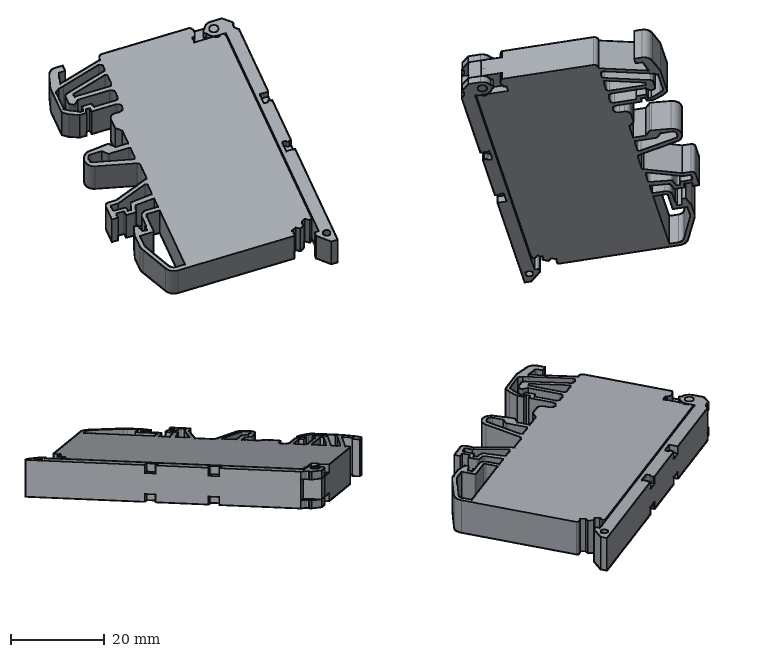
import cadquery as cq
import math


thickness = 8.0
housing_width = 60.0
lid_length = 64.18
lid_height = 3.0
lid_gap = 0.2
total_height = 43.2

ear_radius = 2.0
ear_thickness = 1.75
barrel_width = thickness - 2 * ear_thickness
pivot_x = ear_radius
pivot_y = -5.0
trunnion_radius = 1.0
hinge_clearance = 0.01
socket_radius = ear_radius + hinge_clearance
hinge_wall_x = pivot_x + socket_radius
detent_radius = 0.6
detent_distance = 1.8
hinge_floor_y = -10.15
rest_width = 2.6
rest_crown_y = -9.15
rest_edge_y = -9.75

corner_chamfer = 1.8
chamfer_start_y = -2.4
chamfer_end_y = chamfer_start_y + corner_chamfer
finger_dip_y = -0.8
hook_width = 1.0
hook_drop = 0.95
hook_bevel_start_y = -1.45
hook_x = housing_width + 0.6
eyelet_x = 61.65
eyelet_y = -1.58
eyelet_radius = 0.8
pocket_left = 21.85
pocket_right = 24.25
pocket_height = 2.0
pocket_wave = 0.25

housing_top = -lid_height - lid_gap
shoulder_y = -8.15
left_underside = -30.6
underside = -32.8
arch_y = -32.4
stop_y = -34.0
foot_bottom = -total_height
root = left_underside + 2.0
wall = 1.0


def outline(points):
    """Closed XY profile; a point (x, y, r) gets a tangent arc of radius r at its corner."""
    corners = []
    for index, point in enumerate(points):
        here = cq.Vector(point[0], point[1])
        if len(point) == 2:
            corners.append((here,))
            continue
        before = points[index - 1]
        after = points[(index + 1) % len(points)]
        to_before = (cq.Vector(before[0], before[1]) - here).normalized()
        to_after = (cq.Vector(after[0], after[1]) - here).normalized()
        half_angle = to_before.getAngle(to_after) / 2
        radius = point[2]
        setback = radius / math.tan(half_angle)
        apex_distance = radius / math.sin(half_angle) - radius
        apex = here + (to_before + to_after).normalized() * apex_distance
        corners.append((here + to_before * setback, apex, here + to_after * setback))

    profile = cq.Workplane("XY").moveTo(corners[0][-1].x, corners[0][-1].y)
    for corner in corners[1:] + corners[:1]:
        profile = profile.lineTo(corner[0].x, corner[0].y)
        if len(corner) == 3:
            profile = profile.threePointArc(corner[1].toTuple()[:2], corner[2].toTuple()[:2])
    return profile.close()


def slab(points, depth=thickness):
    """Profile extruded evenly to both sides of the mid-plane."""
    return outline(points).extrude(depth / 2, both=True)


def disc(x, y, radius, depth=thickness):
    return cq.Workplane("XY").center(x, y).circle(radius).extrude(depth / 2, both=True)


def block(x_min, x_max, y_min, y_max, depth=thickness):
    return slab([(x_min, y_min), (x_max, y_min), (x_max, y_max), (x_min, y_max)], depth)


def on_both_faces(tool):
    """Keep only the two outer layers of a full-thickness shape, each one ear thick."""
    middle = cq.Workplane("XY").box(4 * lid_length, 4 * total_height, barrel_width)
    return tool.cut(middle)


def housing_plate():
    latch_teeth = [
        (56.8, housing_top),
        (57.2, -3.75),
        (56.45, -4.6),
        (57.05, -5.55),
        (57.5, -5.55),
        (57.95, -5.3),
        (58.65, -6.45),
        (58.0, -7.2),
        (58.5, -8.35),
        (58.75, shoulder_y),
    ]
    arch = [
        (34.7, underside),
        (34.55, arch_y),
        (30.2, arch_y),
        (30.1, underside),
    ]
    stop_block = [
        (20.8, underside),
        (19.6, stop_y),
        (15.9, stop_y, 1.2),
        (15.9, left_underside, 1.1),
        (14.0, left_underside),
    ]
    return slab(
        [(0, housing_top)]
        + latch_teeth
        + [(housing_width, shoulder_y, 0.4), (housing_width, underside)]
        + arch
        + stop_block
        + [(0, left_underside, 0.95)]
    )


def rail_clip():
    """Left foot: hooked clip around a V-shaped spring tongue."""
    lean = 0.303
    leaning_wall = 0.97
    leg_x = 1.3
    tongue_x = 4.4
    tongue_right = 9.73
    leg_right = 13.7
    floor_y = foot_bottom + 0.75
    tongue_bottom = -40.95
    hook_top = -38.6
    hook_root_y = -40.8
    cavity_bend_y = -40.4
    tongue_floor = -39.15

    def leaned(top_x, y):
        return top_x + lean * (left_underside - y)

    body = slab([
        (leg_x, root),
        (leg_x, left_underside),
        (leaned(leg_x, hook_root_y), hook_root_y),
        (1.55, -40.15, 0.3),
        (1.55, hook_top),
        (0, hook_top),
        (0, -41.8, 2.0),
        (4.95, foot_bottom),
        (11.7, foot_bottom),
        (12.7, -41.95),
        (leg_right, -39.8),
        (leg_right, -38.3),
        (leg_right - wall, -38.1),
        (leg_right - wall, -37.15),
        (leg_right, -37.15),
        (leg_right, left_underside, 1.05),
        (leg_right + 1.1, left_underside),
        (leg_right + 1.1, root),
    ])
    cavity = slab([
        (leaned(leg_x, left_underside) + leaning_wall, left_underside, 0.7),
        (leaned(leg_x, cavity_bend_y) + leaning_wall, cavity_bend_y),
        (5.55, -41.55),
        (6.2, floor_y),
        (11.1, floor_y),
        (11.85, -41.45),
        (12.9, -39.4),
        (12.9, -38.7),
        (leg_right - 2 * wall, -38.6),
        (leg_right - 2 * wall, -36.4),
        (leg_right - wall, -36.2),
        (leg_right - wall, left_underside, 0.8),
    ])
    tongue = slab([
        (tongue_x - wall, root),
        (tongue_x - wall, left_underside),
        (tongue_x, left_underside, 0.6),
        (leaned(tongue_x, tongue_bottom), tongue_bottom, 0.7),
        (10.2, tongue_bottom, 0.6),
        (10.75, -39.85, 0.4),
        (tongue_right, -38.8),
        (tongue_right, left_underside, 1.0),
        (tongue_right + 1.3, left_underside),
        (tongue_right + 1.3, root),
    ])
    tongue_window = slab([
        (leaned(tongue_x, left_underside) + leaning_wall, left_underside, 0.4),
        (leaned(tongue_x, tongue_floor) + leaning_wall, tongue_floor),
        (tongue_right - wall, tongue_floor),
        (tongue_right - wall, left_underside, 0.6),
    ])
    return body.cut(cavity).union(tongue).cut(tongue_window)


def centre_spring():
    """Middle foot: U-shaped spring loop with a knee on its left leg."""
    left_x = 24.4
    loop_wall = 1.2
    loop_floor = foot_bottom + 1.05
    loop_radius = 2.16
    legs_meet_x = 24.63
    legs_meet_y = foot_bottom - 9.6
    body = slab([
        (left_x, root),
        (left_x, -35.6),
        (23.0, -36.8, 0.5),
        (legs_meet_x, legs_meet_y, loop_radius),
        (30.2, arch_y, 0.8),
        (31.2, arch_y),
        (31.2, root),
    ])
    window = slab([
        (left_x + loop_wall, underside, 0.3),
        (left_x + loop_wall, -37.75, 0.4),
        (left_x, -38.8),
        (left_x, loop_floor, 0.8),
        (26.4, loop_floor, 0.6),
        (28.95, underside, 0.5),
    ])
    return body.cut(window)


def notched_foot():
    """Foot with a leaning left leg and a C-shaped notch on its right side."""
    right_x = 42.3
    notch_x = right_x - 1.15
    notch_bottom = -41.8
    window_floor = foot_bottom + 1.05
    window_right = notch_x - 0.85
    left_x = 37.75
    body = slab([
        (34.55, root),
        (34.55, arch_y),
        (left_x, -40.5),
        (left_x, foot_bottom, 0.9),
        (right_x, foot_bottom),
        (right_x, notch_bottom),
        (notch_x, notch_bottom),
        (notch_x, -40.0, 0.2),
        (right_x, -39.95),
        (right_x, -37.65, 0.4),
        (40.5, -37.2, 0.4),
        (40.15, underside),
        (40.15, root),
    ])
    window = slab([
        (35.75, underside, 0.4),
        (left_x + wall, -40.4),
        (left_x + wall, window_floor),
        (window_right, window_floor, 0.4),
        (window_right, -39.25, 0.4),
        (right_x - wall, -39.2),
        (right_x - wall, -38.4, 0.2),
        (39.45, -37.9, 0.4),
        (38.9, underside, 0.3),
    ])
    return body.cut(window)


def rail_hook():
    """Right foot: closed frame that carries the barbed rail hook."""
    left_x = 42.55
    shelf_y = -36.95
    throat_x = 47.5
    base_y = -40.15
    body = slab([
        (left_x, root),
        (left_x, shelf_y, 1.4),
        (46.45, shelf_y),
        (46.55, -37.35),
        (46.85, -37.15),
        (throat_x, -37.15),
        (throat_x, -38.15),
        (45.7, -38.6),
        (45.7, -39.45),
        (48.05, base_y),
        (51.6, base_y, 2.8),
        (housing_width, -36.4, 2.5),
        (housing_width, root),
    ])
    window = slab([
        (left_x + wall, underside),
        (left_x + wall, shelf_y + wall, 0.4),
        (throat_x + wall, shelf_y + wall, 0.2),
        (throat_x + wall, base_y + wall),
        (51.4, base_y + wall, 1.8),
        (housing_width - wall, -35.8, 1.6),
        (housing_width - wall, underside),
    ])
    return body.cut(window)


def ear_recess():
    """Room for the lid ears: a step in both faces with a rounded rest and a detent notch."""
    recess = (
        cq.Workplane("XY")
        .moveTo(0, 0)
        .lineTo(0, rest_edge_y)
        .threePointArc((rest_width / 2, rest_crown_y), (rest_width, rest_edge_y))
        .lineTo(rest_width, hinge_floor_y)
        .lineTo(hinge_wall_x, hinge_floor_y)
        .lineTo(hinge_wall_x, 0)
        .close()
        .extrude(thickness / 2, both=True)
    )
    notch = disc(pivot_x + detent_distance, pivot_y, detent_radius)
    return on_both_faces(recess.union(notch))


def barrel_socket():
    """Opening for the hinge barrel, round around the pivot and open at the top."""
    channel = block(0, hinge_wall_x, pivot_y, 0, barrel_width)
    return disc(pivot_x, pivot_y, socket_radius, barrel_width).union(channel)


def build_housing():
    housing = housing_plate()
    for foot in (rail_clip(), centre_spring(), notched_foot(), rail_hook()):
        housing = housing.union(foot)
    return housing.cut(ear_recess()).cut(barrel_socket())


def lid_pocket():
    """Shallow pocket in both faces, straight on the left and wavy on the right."""
    return on_both_faces(slab([
        (pocket_left, 0),
        (pocket_left, -pocket_height),
        (pocket_right + pocket_wave, -pocket_height, 0.35),
        (pocket_right + pocket_wave, -1.2, 0.15),
        (pocket_right - pocket_wave, -0.8, 0.15),
        (pocket_right, -0.3),
        (pocket_right, 0),
    ]))


def build_lid():
    ear_right = pivot_x + ear_radius
    hook_bottom = -lid_height - hook_drop
    bar = slab([
        (0, chamfer_start_y),
        (corner_chamfer, chamfer_end_y),
        (2.2, chamfer_end_y),
        (2.4, finger_dip_y),
        (ear_right + finger_dip_y, finger_dip_y, 0.4),
        (ear_right, 0),
        (lid_length, 0),
        (lid_length, hook_bevel_start_y),
        (hook_x + hook_width, hook_bottom),
        (hook_x, hook_bottom, 0.25),
        (hook_x, -lid_height),
        (ear_right, -lid_height),
        (ear_right, pivot_y),
        (0, pivot_y),
    ])
    ear_end = disc(pivot_x, pivot_y, ear_radius)
    detent = disc(pivot_x, pivot_y - detent_distance, detent_radius)
    barrel_space = block(0, ear_right, 2 * pivot_y, 0, barrel_width)
    pocket = lid_pocket()
    far_pocket = pocket.mirror("YZ", (housing_width / 2, 0, 0))

    lid = bar.union(ear_end).union(detent).cut(barrel_space)
    lid = lid.cut(disc(pivot_x, pivot_y, trunnion_radius))
    lid = lid.cut(disc(eyelet_x, eyelet_y, eyelet_radius))
    return lid.cut(pocket).cut(far_pocket)


def build_hinge_barrel():
    """Barrel between the lid ears, with a trunnion through each ear."""
    head = block(0, pivot_x + ear_radius, pivot_y, chamfer_start_y, barrel_width)
    barrel = disc(pivot_x, pivot_y, ear_radius, barrel_width)
    trunnions = disc(pivot_x, pivot_y, trunnion_radius)
    return head.union(barrel).union(trunnions)


housing = build_housing()
lid = build_lid()
hinge_barrel = build_hinge_barrel()

result = cq.Compound.makeCompound([housing.val(), lid.val(), hinge_barrel.val()])